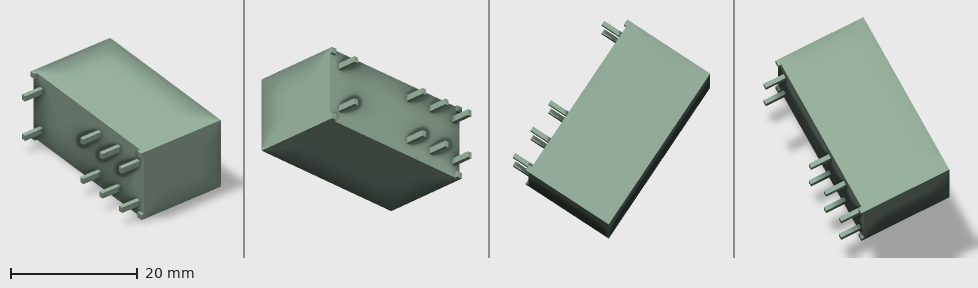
import cadquery as cq

LENGTH = 29.0
HEIGHT = 12.7
OVERALL_DEPTH = 18.8
PIN_LENGTH = 3.6
BODY_DEPTH = OVERALL_DEPTH - PIN_LENGTH

FOOT_SIZE = 1.0
FOOT_LENGTH = 0.5

PIN_WIDTH = 0.75
PIN_HEIGHT = 1.0
PIN_PITCH = 5.08
ROW_SPACING = 7.5
FIRST_PIN_INSET = 2.25
PIN_STEPS = (0, 3, 4, 5)


def block_on_pin_face(width, height, length, x, z):
    """Block standing on the pin face (Y = 0) toward -Y, centred at (x, z)."""
    return cq.Workplane("XY").box(width, length, height).translate((x, -length / 2, z))


def make_body():
    return cq.Workplane("XY").box(LENGTH, BODY_DEPTH, HEIGHT).translate((0, BODY_DEPTH / 2, 0))


def add_feet(part):
    foot_x = (LENGTH - FOOT_SIZE) / 2
    foot_z = (HEIGHT - FOOT_SIZE) / 2
    for x in (-foot_x, foot_x):
        for z in (-foot_z, foot_z):
            part = part.union(block_on_pin_face(FOOT_SIZE, FOOT_SIZE, FOOT_LENGTH, x, z))
    return part


def add_pins(part):
    first_pin_x = -LENGTH / 2 + FIRST_PIN_INSET
    for step in PIN_STEPS:
        x = first_pin_x + step * PIN_PITCH
        for z in (-ROW_SPACING / 2, ROW_SPACING / 2):
            part = part.union(block_on_pin_face(PIN_WIDTH, PIN_HEIGHT, PIN_LENGTH, x, z))
    return part


result = add_pins(add_feet(make_body()))